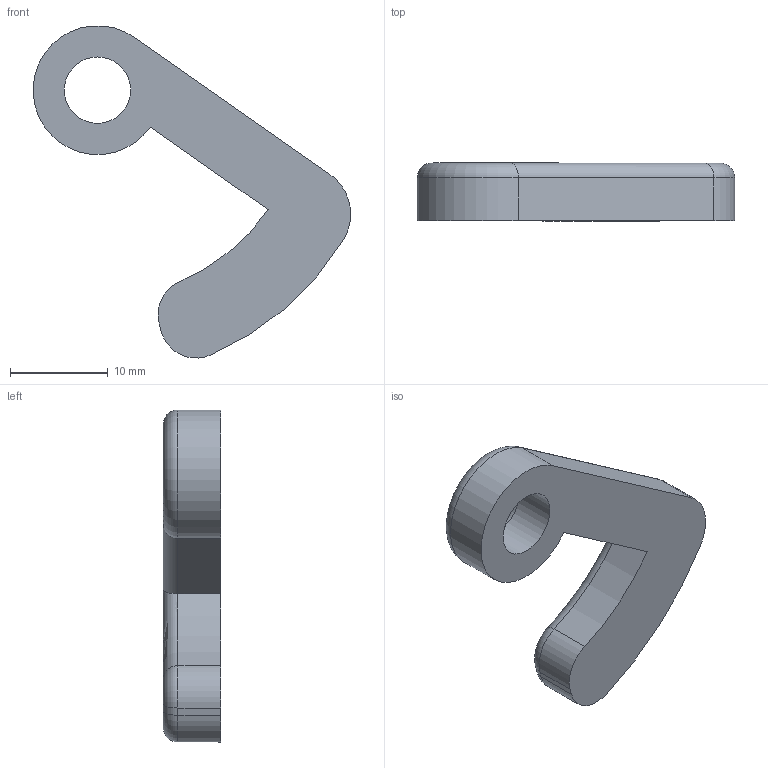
import cadquery as cq
import math

thickness = 5.9
eye_radius = 6.6
bore_diameter = 6.8
arm_angle = -35.0
hook_inner_radius = 21.35
hook_outer_radius = 29.5
tip_angle = -75.2
elbow_radius = 5.0
tip_radius = 3.7
back_edge_radius = 1.5


def polar(radius, angle):
    """Point at a radius and an angle in degrees about the pivot."""
    turn = math.radians(angle)
    return (radius * math.cos(turn), radius * math.sin(turn))


def prism(sketch):
    """Extrude an XZ outline from the front face toward +Y."""
    return sketch.extrude(-thickness)


def make_eye():
    return prism(cq.Workplane("XZ").circle(eye_radius))


def make_lever():
    """Straight arm from the pivot, joined to the curved hook, with rounded outer corners."""
    eye_tangent = polar(eye_radius, arm_angle + 90)
    elbow_angle = arm_angle + math.degrees(math.asin(eye_radius / hook_outer_radius))
    mid_angle = (arm_angle + tip_angle) / 2
    elbow = polar(hook_outer_radius, elbow_angle)
    inner_tip = polar(hook_inner_radius, tip_angle)
    outer_tip = polar(hook_outer_radius, tip_angle)
    outline = (
        cq.Workplane("XZ")
        .lineTo(*eye_tangent)
        .lineTo(*elbow)
        .threePointArc(polar(hook_outer_radius, mid_angle), outer_tip)
        .lineTo(*inner_tip)
        .threePointArc(polar(hook_inner_radius, mid_angle), polar(hook_inner_radius, arm_angle))
        .close()
    )
    lever = prism(outline)
    lever = round_corner(lever, elbow, elbow_radius)
    for corner in (inner_tip, outer_tip):
        lever = round_corner(lever, corner, tip_radius)
    return lever


def round_corner(body, corner, radius):
    """Fillet the edge along Y that passes through an XZ corner of the outline."""
    edge_middle = (corner[0], thickness / 2, corner[1])
    return body.edges(cq.selectors.NearestToPointSelector(edge_middle)).fillet(radius)


def cut_bore(body):
    return body.cut(prism(cq.Workplane("XZ").circle(bore_diameter / 2)))


def round_back(body):
    return body.faces(">Y").edges().fillet(back_edge_radius)


result = round_back(cut_bore(make_eye().union(make_lever()).clean()))